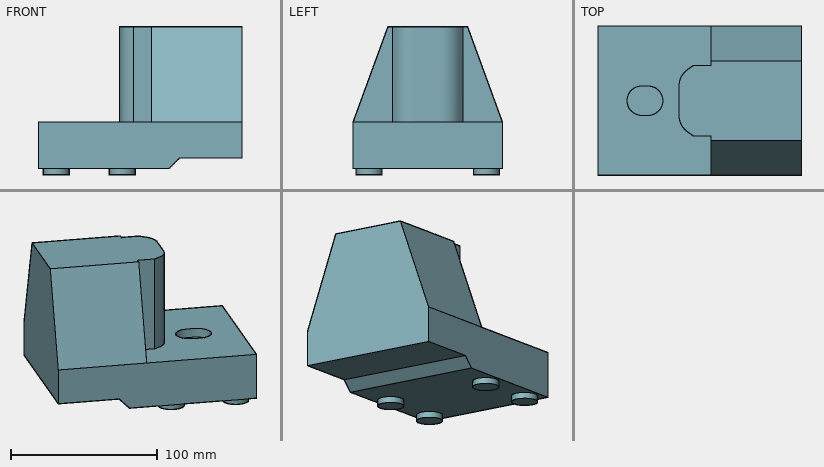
import cadquery as cq

length = 139.0
width = 102.0
total_height = 101.0
foot_height = 4.2
base_top = 36.0

relief_start = 89.1
relief_height = 7.2

foot_diameter = 18.0
foot_positions_x = (12.1, 57.3)
foot_offset_y = 40.0

tower_front = 77.0
tower_top_width = 54.5

nose_front = 55.3
nose_shoulder = 65.0
nose_width = 48.1
nose_front_width = 33.9
nose_corner_radius = 13.9

slot_center_x = 32.1
slot_length = 24.5
slot_width = 20.0
slot_depth = 6.3

tower_height = total_height - base_top


def make_base():
    relief_top = foot_height + relief_height
    return (
        cq.Workplane("XZ")
        .moveTo(0, foot_height)
        .lineTo(relief_start, foot_height)
        .lineTo(relief_start + relief_height, relief_top)
        .lineTo(length, relief_top)
        .lineTo(length, base_top)
        .lineTo(0, base_top)
        .close()
        .extrude(width / 2, both=True)
    )


def make_tower():
    return (
        cq.Workplane("YZ", origin=(tower_front, 0, base_top))
        .polyline([
            (-width / 2, 0),
            (width / 2, 0),
            (tower_top_width / 2, tower_height),
            (-tower_top_width / 2, tower_height),
        ])
        .close()
        .extrude(length - tower_front)
    )


def make_nose():
    return (
        cq.Workplane("XY", origin=(0, 0, base_top))
        .polyline([
            (tower_front, -nose_width / 2),
            (tower_front, nose_width / 2),
            (nose_shoulder, nose_width / 2),
            (nose_front, nose_front_width / 2),
            (nose_front, -nose_front_width / 2),
            (nose_shoulder, -nose_width / 2),
        ])
        .close()
        .extrude(tower_height)
        .faces("<X")
        .edges("|Z")
        .fillet(nose_corner_radius)
    )


def make_feet():
    centers = [(x, side * foot_offset_y) for x in foot_positions_x for side in (-1, 1)]
    return (
        cq.Workplane("XY")
        .pushPoints(centers)
        .circle(foot_diameter / 2)
        .extrude(foot_height)
    )


def make_slot():
    return (
        cq.Workplane("XY", origin=(slot_center_x, 0, base_top))
        .slot2D(slot_length, slot_width)
        .extrude(-slot_depth)
    )


result = make_base().union(make_tower()).union(make_nose()).union(make_feet()).cut(make_slot())